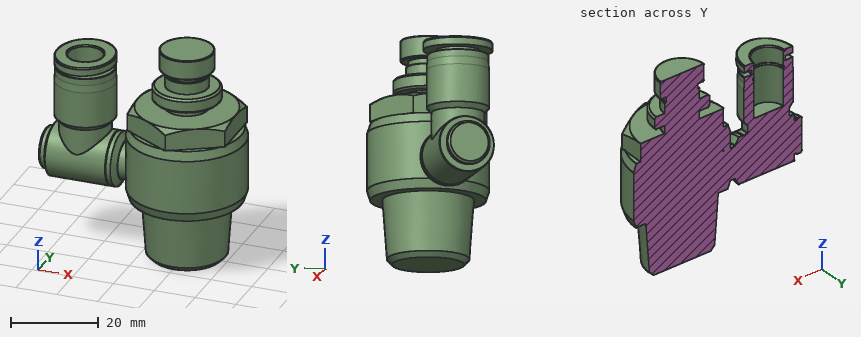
import cadquery as cq
import math


THREAD_TIP_RADIUS = 9.47
THREAD_ROOT_RADIUS = 10.5
THREAD_LENGTH = 15.0
THREAD_CHAMFER = 1.25

BODY_RADIUS = 14.0
BODY_LENGTH = 17.65
BODY_BEVEL_HEIGHT = 2.2
BODY_BEVEL_WIDTH = 0.75
BODY_BOTTOM = THREAD_LENGTH
BODY_TOP = BODY_BOTTOM + BODY_LENGTH

HEX_SIDES = 6
HEX_ACROSS_FLATS = 24.0
HEX_HEIGHT = 5.0
HEX_TOP = BODY_TOP + HEX_HEIGHT
HEX_CHAMFER_ANGLE = 30.0

STEM_RADIUS = 5.08
STEM_TOP = 46.05
STEM_CHAMFER = 0.15
RING_RADIUS = 8.0
RING_THICKNESS = 3.5
RING_GAP = 2.0
RING_BOTTOM = HEX_TOP + RING_GAP
RING_TOP = RING_BOTTOM + RING_THICKNESS
RING_CHAMFER = 0.5
KNOB_NECK_RADIUS = 4.6
KNOB_RADIUS = 6.35
KNOB_HEIGHT = 4.9
KNOB_TOP = 52.2
KNOB_BOTTOM = KNOB_TOP - KNOB_HEIGHT
KNOB_TOP_CHAMFER = 0.2
KNOB_BOTTOM_CHAMFER = 0.3

BARREL_RADIUS = 6.5
BARREL_Z = BODY_BOTTOM + BARREL_RADIUS
OVERALL_LENGTH = 48.6
CAP_END_X = BODY_RADIUS - OVERALL_LENGTH
CAP_RADIUS = 5.0
CAP_CHAMFER = 0.5
CAP_RIM_WIDTH = 1.5
CAP_RIM_X = CAP_END_X + CAP_RIM_WIDTH
CAP_NECK_RADIUS = 4.7
CAP_LENGTH = 2.2
BARREL_START_X = CAP_END_X + CAP_LENGTH
BARREL_EDGE_CHAMFER = 0.12
JOINT_X = -17.5
JOINT_GROOVE = 0.12
CONE_START_X = -16.3
CONE_END_X = -15.25
CONE_END_RADIUS = 4.7
CONNECTOR_RADIUS = 4.5

PORT_X = -24.88
LEG_RADIUS = 6.07
SLEEVE_RADIUS = 7.17
SLEEVE_MOUTH_RADIUS = 7.05
SLEEVE_BOTTOM = 30.2
SLEEVE_BEVEL_TOP = 31.4
SLEEVE_TAPER_START = 40.25
SLEEVE_TAPER_END = 42.1
SLEEVE_TOP = 43.7
SLEEVE_CHAMFER = 0.12
RELEASE_NECK_RADIUS = 4.9
RELEASE_LENGTH_X = 14.1
RELEASE_LENGTH_Y = 16.0
RELEASE_BOTTOM = 44.8
RELEASE_TOP = 46.75
RELEASE_EDGE_HEIGHT = 0.35
RELEASE_EDGE_WIDTH = 0.25
BORE_RADIUS = 4.15
BORE_CHAMFER = 0.3
BORE_FLOOR = SLEEVE_BEVEL_TOP
BORE_GROOVE_TOP = 42.2
BORE_GROOVE_LAND = 0.3


def turned_z(profile):
    """Solid of revolution about the Z axis from (radius, z) points."""
    points = [(0, profile[0][1])] + profile + [(0, profile[-1][1])]
    return cq.Workplane("XZ").polyline(points).close().revolve(360, (0, 0), (0, 1))


def turned_x(profile):
    """Solid of revolution about the barrel axis from (x, radius) points."""
    points = [(profile[0][0], 0)] + profile + [(profile[-1][0], 0)]
    solid = cq.Workplane("XZ").polyline(points).close().revolve(360, (0, 0), (1, 0))
    return solid.translate((0, 0, BARREL_Z))


def make_body():
    """Taper-thread end and double-bevelled cylindrical body."""
    bevel_radius = BODY_RADIUS - BODY_BEVEL_WIDTH
    return turned_z([
        (THREAD_TIP_RADIUS - THREAD_CHAMFER, 0),
        (THREAD_TIP_RADIUS, THREAD_CHAMFER),
        (THREAD_ROOT_RADIUS, THREAD_LENGTH),
        (bevel_radius, BODY_BOTTOM),
        (BODY_RADIUS, BODY_BOTTOM + BODY_BEVEL_HEIGHT),
        (BODY_RADIUS, BODY_TOP - BODY_BEVEL_HEIGHT),
        (bevel_radius, BODY_TOP),
    ])


def make_hexagon():
    """Hexagon with corners on the Y axis, its top corners cut by a cone."""
    flat_radius = HEX_ACROSS_FLATS / 2
    corner_diameter = HEX_ACROSS_FLATS / math.cos(math.pi / HEX_SIDES)
    slope = math.tan(math.radians(HEX_CHAMFER_ANGLE))
    hexagon = (
        cq.Workplane("XY", origin=(0, 0, BODY_TOP))
        .transformed(rotate=(0, 0, 90))
        .polygon(HEX_SIDES, corner_diameter)
        .extrude(HEX_HEIGHT)
    )
    cone = turned_z([
        (flat_radius + HEX_HEIGHT / slope, BODY_TOP),
        (flat_radius, HEX_TOP),
    ])
    return hexagon.intersect(cone)


def make_stem():
    """Adjusting stem with its lock ring and knob."""
    return turned_z([
        (STEM_RADIUS, BODY_TOP),
        (STEM_RADIUS, RING_BOTTOM),
        (RING_RADIUS - RING_CHAMFER, RING_BOTTOM),
        (RING_RADIUS, RING_BOTTOM + RING_CHAMFER),
        (RING_RADIUS, RING_TOP - RING_CHAMFER),
        (RING_RADIUS - RING_CHAMFER, RING_TOP),
        (STEM_RADIUS, RING_TOP),
        (STEM_RADIUS, STEM_TOP - STEM_CHAMFER),
        (STEM_RADIUS - STEM_CHAMFER, STEM_TOP),
        (KNOB_NECK_RADIUS, STEM_TOP),
        (KNOB_NECK_RADIUS, KNOB_BOTTOM),
        (KNOB_RADIUS - KNOB_BOTTOM_CHAMFER, KNOB_BOTTOM),
        (KNOB_RADIUS, KNOB_BOTTOM + KNOB_BOTTOM_CHAMFER),
        (KNOB_RADIUS, KNOB_TOP - KNOB_TOP_CHAMFER),
        (KNOB_RADIUS - KNOB_TOP_CHAMFER, KNOB_TOP),
    ])


def make_barrel():
    """Elbow barrel from its end cap to the connector inside the body."""
    return turned_x([
        (CAP_END_X, CAP_RADIUS - CAP_CHAMFER),
        (CAP_END_X + CAP_CHAMFER, CAP_RADIUS),
        (CAP_RIM_X, CAP_RADIUS),
        (CAP_RIM_X, CAP_NECK_RADIUS),
        (BARREL_START_X, CAP_NECK_RADIUS),
        (BARREL_START_X, BARREL_RADIUS - BARREL_EDGE_CHAMFER),
        (BARREL_START_X + BARREL_EDGE_CHAMFER, BARREL_RADIUS),
        (JOINT_X - JOINT_GROOVE, BARREL_RADIUS),
        (JOINT_X, BARREL_RADIUS - JOINT_GROOVE),
        (JOINT_X + JOINT_GROOVE, BARREL_RADIUS),
        (CONE_START_X, BARREL_RADIUS),
        (CONE_END_X, CONE_END_RADIUS),
        (CONE_END_X, CONNECTOR_RADIUS),
        (0, CONNECTOR_RADIUS),
    ])


def make_port():
    """Upright leg, sleeve, oval release collar and blind tube bore with a relief groove."""
    sleeve = turned_z([
        (LEG_RADIUS, BARREL_Z),
        (LEG_RADIUS, SLEEVE_BOTTOM),
        (SLEEVE_RADIUS, SLEEVE_BEVEL_TOP),
        (SLEEVE_RADIUS, SLEEVE_TAPER_START),
        (SLEEVE_MOUTH_RADIUS, SLEEVE_TAPER_END),
        (SLEEVE_MOUTH_RADIUS, SLEEVE_TOP - SLEEVE_CHAMFER),
        (SLEEVE_MOUTH_RADIUS - SLEEVE_CHAMFER, SLEEVE_TOP),
        (RELEASE_NECK_RADIUS, SLEEVE_TOP),
        (RELEASE_NECK_RADIUS, RELEASE_TOP),
    ])
    collar = (
        cq.Workplane("XY", origin=(0, 0, RELEASE_BOTTOM))
        .ellipse(RELEASE_LENGTH_X / 2, RELEASE_LENGTH_Y / 2)
        .extrude(RELEASE_TOP - RELEASE_BOTTOM)
        .faces(">Z")
        .chamfer(RELEASE_EDGE_HEIGHT, RELEASE_EDGE_WIDTH)
    )
    groove_bottom = BORE_GROOVE_TOP - BORE_GROOVE_LAND
    bore = turned_z([
        (BORE_RADIUS, BORE_FLOOR),
        (BORE_RADIUS, groove_bottom - BORE_CHAMFER),
        (BORE_RADIUS + BORE_CHAMFER, groove_bottom),
        (BORE_RADIUS + BORE_CHAMFER, BORE_GROOVE_TOP),
        (BORE_RADIUS, BORE_GROOVE_TOP),
        (BORE_RADIUS, RELEASE_TOP - BORE_CHAMFER),
        (BORE_RADIUS + BORE_CHAMFER, RELEASE_TOP),
    ])
    return sleeve.union(collar).cut(bore).translate((PORT_X, 0, 0))


result = make_body().union(make_hexagon()).union(make_stem()).union(make_barrel()).union(make_port())